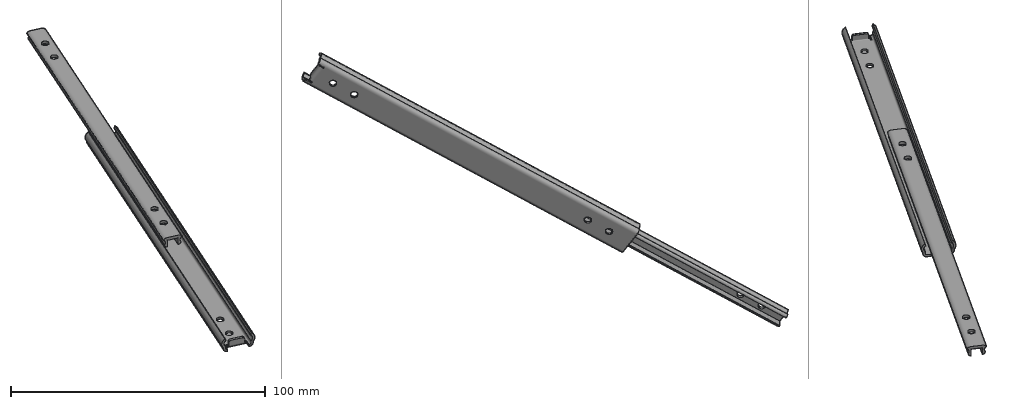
import cadquery as cq
import math

TRAVEL_LENGTH = 221.8
RAIL_LENGTH = 150.0
HEIGHT = 6.5
HOLE_DIAMETER = 2.9
HOLE_PITCH = 10.0
HOLE_INSETS = (HOLE_PITCH, 2 * HOLE_PITCH)

OUTER_START = TRAVEL_LENGTH - RAIL_LENGTH
OUTER_HALF_WIDTH = 6.99
OUTER_SHEET = 1.0
LOWER_WALL_HALF_WIDTH = 6.32
OUTER_BEND_RADIUS = 1.66
RACE_RADIUS = 2.7
RACE_CENTRE_Y = OUTER_HALF_WIDTH - RACE_RADIUS
RACE_CENTRE_Z = 3.88
RACE_OUTSIDE_END = 45
RACE_INSIDE_END = 60
LIP_TIP_Y = 5.5

STOP_SETBACK = 1.5
STOP_FACE_X = TRAVEL_LENGTH - STOP_SETBACK
STOP_WIDTH = 6.7
STOP_HEIGHT = 3.8
STOP_CORNER_RADIUS = 0.9
STOP_BEND_WIDTH = 8.0
STOP_INNER_BEND_RADIUS = 0.33
STOP_OUTER_BEND_RADIUS = STOP_INNER_BEND_RADIUS + OUTER_SHEET
FLOOR_NOTCH_WIDTH = 8.9

INNER_TOP_SHEET = 1.3
TOP_FLAT_HALF_WIDTH = 2.2
SHOULDER_RADIUS = 2.2
INNER_HALF_WIDTH = 4.0
CAVITY_HALF_WIDTH = 2.2
INNER_BOTTOM_Z = 2.0
GROOVE_MIDDLE_Y = 3.0
GROOVE_MIDDLE_Z = 4.0
FOOT_HALF_WIDTH = 3.44
FOOT_RADIUS = 1.0


def arc_point(centre, radius, angle):
    """Point on a circle, at an angle in degrees from the horizontal axis of the sketch."""
    turn = math.radians(angle)
    return (centre[0] + radius * math.cos(turn), centre[1] + radius * math.sin(turn))


def line(end):
    """Straight stretch of an outline: no middle point."""
    return (None, end)


def arc(centre, radius, first_angle, last_angle):
    """Round stretch of an outline, given by its middle and end points."""
    middle = arc_point(centre, radius, (first_angle + last_angle) / 2)
    return (middle, arc_point(centre, radius, last_angle))


def mirrored(point):
    return (-point[0], point[1])


def symmetric_rail(start, stretches, start_x):
    """Close a half outline with its mirror image about the XZ plane and extrude it along X.

    The half outline begins at `start` on the +Y side and follows `stretches`;
    straight lines across the middle plane join it to the -Y side at both ends.
    """
    outline = cq.Workplane("YZ").moveTo(*start)
    path = [start]
    for middle, end in stretches:
        outline = outline.threePointArc(middle, end) if middle else outline.lineTo(*end)
        path.append(end)
    outline = outline.lineTo(*mirrored(path[-1]))
    for index in reversed(range(len(stretches))):
        middle = stretches[index][0]
        end = mirrored(path[index])
        outline = outline.threePointArc(mirrored(middle), end) if middle else outline.lineTo(*end)
    return outline.close().extrude(RAIL_LENGTH).translate((start_x, 0, 0))


def hole_cutters(start_x):
    """Through-hole cutters: two near each end of a rail that starts at start_x."""
    near_start = [(start_x + inset, 0) for inset in HOLE_INSETS]
    near_end = [(start_x + RAIL_LENGTH - inset, 0) for inset in HOLE_INSETS]
    return cq.Workplane("XY").pushPoints(near_start + near_end).circle(HOLE_DIAMETER / 2).extrude(HEIGHT)


def outer_channel():
    """Floor, bent lower walls and ball races of the outer rail."""
    race_centre = (RACE_CENTRE_Y, RACE_CENTRE_Z)
    inside_radius = RACE_RADIUS - OUTER_SHEET
    inside_wall = LOWER_WALL_HALF_WIDTH - OUTER_SHEET
    outside_join = -math.degrees(math.acos((LOWER_WALL_HALF_WIDTH - RACE_CENTRE_Y) / RACE_RADIUS))
    inside_join = -math.degrees(math.acos((inside_wall - RACE_CENTRE_Y) / inside_radius))
    bend_centre = (LOWER_WALL_HALF_WIDTH - OUTER_BEND_RADIUS, OUTER_BEND_RADIUS)
    stretches = [
        arc(bend_centre, OUTER_BEND_RADIUS, -90, 0),
        line(arc_point(race_centre, RACE_RADIUS, outside_join)),
        arc(race_centre, RACE_RADIUS, outside_join, RACE_OUTSIDE_END),
        line((LIP_TIP_Y, HEIGHT)),
        line(arc_point(race_centre, inside_radius, RACE_INSIDE_END)),
        arc(race_centre, inside_radius, RACE_INSIDE_END, inside_join),
        line((inside_wall, OUTER_BEND_RADIUS)),
        arc(bend_centre, OUTER_BEND_RADIUS - OUTER_SHEET, 0, -90),
    ]
    return symmetric_rail((bend_centre[0], 0), stretches, OUTER_START)


def end_notch():
    """Cutter that frees the bent end of the floor between the two sides."""
    length = STOP_SETBACK + STOP_OUTER_BEND_RADIUS
    return (
        cq.Workplane("XY")
        .box(length, FLOOR_NOTCH_WIDTH, OUTER_SHEET, centered=(False, True, False))
        .translate((TRAVEL_LENGTH - length, 0, 0))
    )


def end_stop():
    """Bend strip at the floor end and the narrower, round-cornered tab above it."""
    bend_start = STOP_FACE_X - STOP_OUTER_BEND_RADIUS
    bend_centre = (bend_start, STOP_OUTER_BEND_RADIUS)
    bend = (
        cq.Workplane("XZ")
        .moveTo(bend_start, 0)
        .threePointArc(
            arc_point(bend_centre, STOP_OUTER_BEND_RADIUS, -45),
            (STOP_FACE_X, STOP_OUTER_BEND_RADIUS),
        )
        .lineTo(STOP_FACE_X - OUTER_SHEET, STOP_OUTER_BEND_RADIUS)
        .threePointArc(arc_point(bend_centre, STOP_INNER_BEND_RADIUS, -45), (bend_start, OUTER_SHEET))
        .close()
        .extrude(STOP_BEND_WIDTH / 2, both=True)
    )
    tab = (
        cq.Workplane("XY")
        .box(OUTER_SHEET, STOP_WIDTH, STOP_HEIGHT - STOP_OUTER_BEND_RADIUS, centered=(False, True, False))
        .edges("|X and >Z")
        .fillet(STOP_CORNER_RADIUS)
        .translate((STOP_FACE_X - OUTER_SHEET, 0, STOP_OUTER_BEND_RADIUS))
    )
    return bend.union(tab)


def make_outer_rail():
    """Channel with its end stop and mounting holes."""
    return outer_channel().cut(end_notch()).union(end_stop()).cut(hole_cutters(OUTER_START))


def make_inner_rail():
    """Inverted channel: rounded shoulders, concave ball grooves and rounded feet."""
    shoulder_centre = (TOP_FLAT_HALF_WIDTH, HEIGHT - SHOULDER_RADIUS)
    shoulder_end = math.degrees(math.acos((INNER_HALF_WIDTH - TOP_FLAT_HALF_WIDTH) / SHOULDER_RADIUS))
    foot_centre = (FOOT_HALF_WIDTH - FOOT_RADIUS, INNER_BOTTOM_Z + FOOT_RADIUS)
    groove_bottom = (FOOT_HALF_WIDTH, foot_centre[1])
    stretches = [
        arc(shoulder_centre, SHOULDER_RADIUS, 90, shoulder_end),
        ((GROOVE_MIDDLE_Y, GROOVE_MIDDLE_Z), groove_bottom),
        arc(foot_centre, FOOT_RADIUS, 0, -90),
        line((CAVITY_HALF_WIDTH, INNER_BOTTOM_Z)),
        line((CAVITY_HALF_WIDTH, HEIGHT - INNER_TOP_SHEET)),
    ]
    rail = symmetric_rail((TOP_FLAT_HALF_WIDTH, HEIGHT), stretches, 0)
    return rail.cut(hole_cutters(0))


outer_rail = make_outer_rail()
inner_rail = make_inner_rail()

result = cq.Compound.makeCompound([outer_rail.val(), inner_rail.val()])